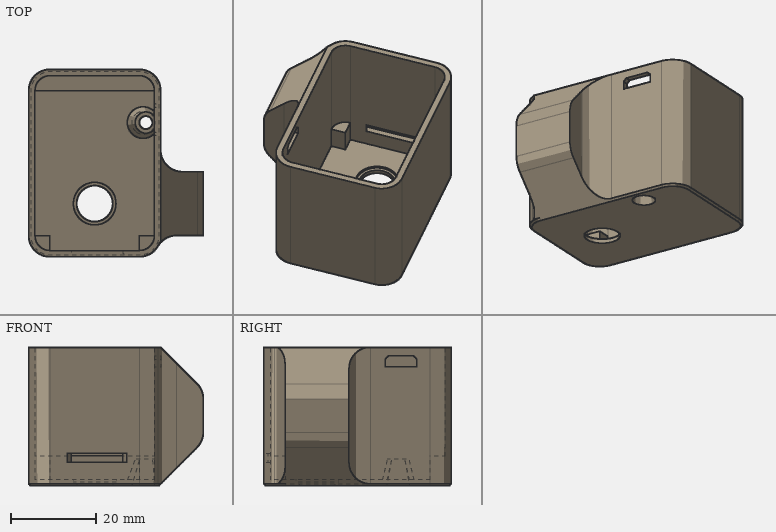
import cadquery as cq
import math

BOX_X = 31.0
BOX_Y = 44.0
HEIGHT = 32.5
WALL = 1.5
FLOOR = 1.5
CORNER_RADIUS = 5.0
BASE_CHAMFER = 0.5
INNER_X = BOX_X - 2 * WALL
INNER_Y = BOX_Y - 2 * WALL
INNER_RADIUS = CORNER_RADIUS - WALL

LEDGE_TOP = 7.1
LEDGE_WIDTH = INNER_RADIUS

TAB_REACH = 10.0
TAB_WIDTH = 15.0
TAB_Y_MIN = CORNER_RADIUS - BOX_Y / 2
TAB_Y_MAX = TAB_Y_MIN + TAB_WIDTH
TAB_BLEND_RADIUS = 5.0
TAB_TIP_RADIUS = 5.0

FLOOR_HOLE_Y = -9.5
FLOOR_HOLE_DIAMETER = 8.4
FLOOR_HOLE_STEP_DIAMETER = 10.0
FLOOR_HOLE_STEP_DEPTH = 0.5

BOSS_X = 12.0
BOSS_Y = 9.5
BOSS_TOP = 6.4
BOSS_TOP_DIAMETER = 5.0
BOSS_BASE_DIAMETER = 7.4
BOSS_BASE_SHIFT = 0.65
BOSS_HOLE_TOP_DIAMETER = 3.0
BOSS_HOLE_BASE_DIAMETER = BOSS_BASE_DIAMETER - (BOSS_TOP_DIAMETER - BOSS_HOLE_TOP_DIAMETER)

SLOT_X = 0.55
SLOT_BOTTOM = 5.6
SLOT_HEIGHT = 2.0
SLOT_OUTER_LENGTH = 14.0
SLOT_FLARE = 1.0

WINDOW_Y = 10.2
WINDOW_LENGTH = 7.4
WINDOW_BOTTOM = 27.9
WINDOW_HEIGHT = 2.6
WINDOW_CORNER_CUT = 0.75


def rounded_block(size_x, size_y, radius, bottom, top):
    """Upright block centred on Z with rounded vertical edges."""
    block = cq.Workplane("XY").workplane(offset=bottom).rect(size_x, size_y).extrude(top - bottom)
    return block.edges("|Z").fillet(radius)


def make_shell():
    outer = rounded_block(BOX_X, BOX_Y, CORNER_RADIUS, 0, HEIGHT)
    return outer.faces("<Z").chamfer(BASE_CHAMFER)


def make_cavity():
    return rounded_block(INNER_X, INNER_Y, INNER_RADIUS, FLOOR, HEIGHT)


def make_tab():
    """Tab blended into the side wall and corner, cut to a tapering side profile."""
    wall_x = BOX_X / 2
    tip_x = wall_x + TAB_REACH
    corner_x = wall_x - CORNER_RADIUS
    corner_y = CORNER_RADIUS - BOX_Y / 2

    centre_distance = CORNER_RADIUS + TAB_BLEND_RADIUS
    blend_y = TAB_Y_MIN - TAB_BLEND_RADIUS
    blend_x = corner_x + math.sqrt(centre_distance**2 - (corner_y - blend_y) ** 2)
    touch_share = CORNER_RADIUS / centre_distance
    touch_x = corner_x + touch_share * (blend_x - corner_x)
    touch_y = corner_y + touch_share * (blend_y - corner_y)

    outline = (
        cq.Workplane("XY")
        .moveTo(corner_x, touch_y)
        .lineTo(touch_x, touch_y)
        .radiusArc((blend_x, TAB_Y_MIN), TAB_BLEND_RADIUS)
        .lineTo(tip_x, TAB_Y_MIN)
        .lineTo(tip_x, TAB_Y_MAX)
        .lineTo(wall_x + TAB_BLEND_RADIUS, TAB_Y_MAX)
        .radiusArc((wall_x, TAB_Y_MAX + TAB_BLEND_RADIUS), TAB_BLEND_RADIUS)
        .lineTo(corner_x, TAB_Y_MAX + TAB_BLEND_RADIUS)
        .close()
        .extrude(HEIGHT)
    )

    profile = (
        cq.Workplane("XZ")
        .moveTo(corner_x, BASE_CHAMFER)
        .lineTo(wall_x, BASE_CHAMFER)
        .lineTo(tip_x, BASE_CHAMFER + TAB_REACH)
        .lineTo(tip_x, HEIGHT - TAB_REACH)
        .lineTo(wall_x, HEIGHT)
        .lineTo(corner_x, HEIGHT)
        .close()
        .extrude(BOX_Y / 2, both=True)
        .edges("|Y and >X")
        .fillet(TAB_TIP_RADIUS)
    )
    return outline.intersect(profile)


def make_ledges():
    """Full-width ledge at the +Y end and a square post in each -Y corner."""
    ledge_y = (INNER_Y - LEDGE_WIDTH) / 2
    post_x = (INNER_X - LEDGE_WIDTH) / 2
    end_ledge = cq.Workplane("XY").center(0, ledge_y).rect(INNER_X, LEDGE_WIDTH).extrude(LEDGE_TOP)
    posts = (
        cq.Workplane("XY")
        .pushPoints([(-post_x, -ledge_y), (post_x, -ledge_y)])
        .rect(LEDGE_WIDTH, LEDGE_WIDTH)
        .extrude(LEDGE_TOP)
    )
    return end_ledge.union(posts)


def leaning_cone(base_diameter, top_diameter, base_height):
    """Cone from the given height to the boss top, its base shifted away from the wall."""
    return (
        cq.Workplane("XY", origin=(BOSS_X - BOSS_BASE_SHIFT, BOSS_Y, base_height))
        .circle(base_diameter / 2)
        .workplane(offset=BOSS_TOP - base_height)
        .center(BOSS_BASE_SHIFT, 0)
        .circle(top_diameter / 2)
        .loft(ruled=True)
    )


def make_boss():
    return leaning_cone(BOSS_BASE_DIAMETER, BOSS_TOP_DIAMETER, FLOOR)


def make_boss_hole():
    """Hole through boss and floor that widens downwards."""
    return leaning_cone(BOSS_HOLE_BASE_DIAMETER, BOSS_HOLE_TOP_DIAMETER, 0)


def make_floor_hole():
    centre = cq.Workplane("XY").center(0, FLOOR_HOLE_Y)
    through = centre.circle(FLOOR_HOLE_DIAMETER / 2).extrude(FLOOR)
    step = (
        centre.workplane(offset=FLOOR - FLOOR_HOLE_STEP_DEPTH)
        .circle(FLOOR_HOLE_STEP_DIAMETER / 2)
        .extrude(FLOOR_HOLE_STEP_DEPTH)
    )
    return through.union(step)


def make_slot():
    """Slot whose ends flare outwards at 45 degrees in the outer part of the wall."""
    outer_y = -BOX_Y / 2
    flare_y = outer_y + SLOT_FLARE
    inner_y = outer_y + WALL
    outer_half = SLOT_OUTER_LENGTH / 2
    inner_half = outer_half - SLOT_FLARE
    return (
        cq.Workplane("XY")
        .workplane(offset=SLOT_BOTTOM)
        .moveTo(SLOT_X - outer_half, outer_y)
        .lineTo(SLOT_X + outer_half, outer_y)
        .lineTo(SLOT_X + inner_half, flare_y)
        .lineTo(SLOT_X + inner_half, inner_y)
        .lineTo(SLOT_X - inner_half, inner_y)
        .lineTo(SLOT_X - inner_half, flare_y)
        .close()
        .extrude(SLOT_HEIGHT)
    )


def make_window():
    """Window through the wall with its two upper corners cut off."""
    wall_middle_x = (BOX_X - WALL) / 2
    window_middle_z = WINDOW_BOTTOM + WINDOW_HEIGHT / 2
    window = cq.Workplane("XY").box(WALL, WINDOW_LENGTH, WINDOW_HEIGHT)
    window = window.faces(">Z").edges("|X").chamfer(WINDOW_CORNER_CUT)
    return window.translate((wall_middle_x, WINDOW_Y, window_middle_z))


cavity = make_cavity()
fittings = make_ledges().union(make_boss()).intersect(cavity)

result = (
    make_shell()
    .union(make_tab())
    .cut(cavity)
    .union(fittings)
    .cut(make_boss_hole())
    .cut(make_floor_hole())
    .cut(make_slot())
    .cut(make_window())
)